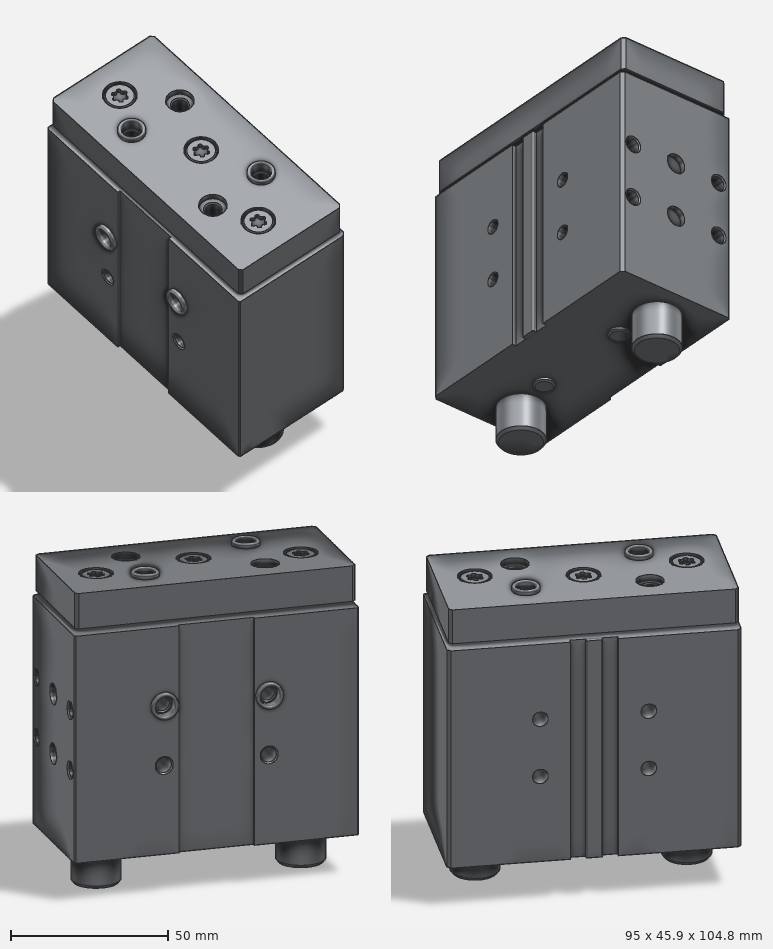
import cadquery as cq
import math


housing_length = 95.0
housing_width = 44.2
housing_height = 76.0
back_corner_chamfer = 1.2
front_corner_chamfer = 0.5
front_groove_width = 25.0
front_groove_depth = 0.9
back_groove_width = 15.4
back_groove_depth = 1.5
back_rib_width = 5.2
back_rib_rounding = 0.4

plate_length = 93.5
plate_width = 42.1
plate_thickness = 11.8
plate_corner_chamfer = 1.0

rod_overhang = 13.3
plate_gap = 2.0
guide_rod_diameter = 16.0
guide_rod_x = 34.2
guide_rod_y = -3.0
guide_rod_chamfer_width = 0.8
guide_rod_chamfer_height = 1.0
piston_rod_diameter = 9.0
piston_rod_y = 2.0
piston_rod_depth = 41.9

head_seat_diameter = 11.0
head_diameter = 10.0
head_height = 6.0
head_chamfer = 0.4
head_recess = 0.3
shank_diameter = 6.0
star_tip_radius = 2.7
star_flank_radius = 2.4
star_valley_radius = 2.0
star_depth = 1.6
star_points = 6

thread_diameter = 5.0
thread_mouth_diameter = 6.0
hole_pitch = 20.0
plate_hole_x = hole_pitch
plate_hole_y = hole_pitch / 2
front_hole_x = 17.5
side_hole_y = 17.5
side_hole_depth = 10.5
drill_point_angle = 118
lower_hole_row_z = 43.1
hole_rows_z = [lower_hole_row_z, lower_hole_row_z + hole_pitch]
upper_hole_row_z = hole_rows_z[-1]

sleeve_diameter = 9.0
sleeve_bore_diameter = 6.5
sleeve_seat_depth = 2.1
sleeve_protrusion = 1.7

side_recess_diameter = 7.0
side_recess_depth = 2.1
button_diameter = 7.0
button_height = 1.3
button_chamfer = 0.5
button_x = 18.8

housing_bottom_z = rod_overhang
housing_top_z = housing_bottom_z + housing_height
plate_bottom_z = housing_top_z + plate_gap
plate_top_z = plate_bottom_z + plate_thickness
head_top_z = plate_top_z - head_recess
front_y = -housing_width / 2
back_y = housing_width / 2
left_x = -housing_length / 2

UP = cq.Vector(0, 0, 1)
DOWN = cq.Vector(0, 0, -1)
RIGHT = cq.Vector(1, 0, 0)
BACKWARD = cq.Vector(0, 1, 0)
FORWARD = cq.Vector(0, -1, 0)


def cylinder(diameter, length, start, direction):
    return cq.Solid.makeCylinder(diameter / 2, length, start, direction)


def cone(start_diameter, end_diameter, length, start, direction):
    return cq.Solid.makeCone(start_diameter / 2, end_diameter / 2, length, start, direction)


def threaded_hole(depth, mouth, direction):
    """Cutter for a hole with a 45 degree chamfer at its mouth."""
    chamfer = (thread_mouth_diameter - thread_diameter) / 2
    hole = cylinder(thread_diameter, depth, mouth, direction)
    return hole.fuse(cone(thread_mouth_diameter, thread_diameter, chamfer, mouth, direction))


def blind_threaded_hole(depth, mouth, direction):
    """Cutter for a threaded hole that ends in a drill point."""
    point_height = thread_diameter / 2 / math.tan(math.radians(drill_point_angle / 2))
    point = cone(thread_diameter, 0, point_height, mouth + direction * depth, direction)
    return threaded_hole(depth, mouth, direction).fuse(point)


def seated_hole(depth, mouth, direction):
    """Cutter for a threaded hole that starts at the floor of a sleeve counterbore."""
    seat = cylinder(sleeve_diameter, sleeve_seat_depth, mouth, direction)
    return threaded_hole(depth, mouth + direction * sleeve_seat_depth, direction).fuse(seat)


def make_centring_sleeve(mouth, outward):
    """Ring that sits in the counterbore at mouth and stands out of it with a rounded rim."""
    radius = sleeve_diameter / 2
    bore_radius = sleeve_bore_diameter / 2
    height = sleeve_seat_depth + sleeve_protrusion
    rounding = (radius - bore_radius) / 2
    profile = (
        cq.Workplane("XZ")
        .moveTo(bore_radius, 0)
        .lineTo(radius, 0)
        .lineTo(radius, height - rounding)
        .threePointArc((bore_radius + rounding, height), (bore_radius, height - rounding))
        .close()
    )
    ring = profile.revolve(360, (0, 0, 0), (0, 1, 0)).val()
    seat_floor = mouth - outward * sleeve_seat_depth
    return ring.moved(cq.Location(cq.Plane(seat_floor, RIGHT, outward)))


def head_seat(x, y):
    """Cutter for the shank hole through the plate and the counterbore of the screw head."""
    mouth = cq.Vector(x, y, plate_top_z)
    counterbore = cylinder(head_seat_diameter, head_recess + head_height, mouth, DOWN)
    return counterbore.fuse(cylinder(shank_diameter, plate_thickness, mouth, DOWN))


def star_socket(x, y):
    """Cutter for the driver socket, a star with rounded tips and valleys."""

    def star_point(radius, steps):
        angle = math.pi / 2 + steps * math.pi / (2 * star_points)
        return (x + radius * math.cos(angle), y + radius * math.sin(angle))

    outline = cq.Workplane("XY").workplane(offset=head_top_z - star_depth)
    outline = outline.moveTo(*star_point(star_flank_radius, -1))
    for tip in range(0, 4 * star_points, 4):
        outline = outline.threePointArc(star_point(star_tip_radius, tip), star_point(star_flank_radius, tip + 1))
        outline = outline.threePointArc(
            star_point(star_valley_radius, tip + 2), star_point(star_flank_radius, tip + 3)
        )
    return outline.close().extrude(star_depth).val()


def screw_end(x, y):
    """Upper end of a rod: the shank and the head that hold the plate."""
    shank_length = head_top_z - head_height - plate_bottom_z
    shank = cylinder(shank_diameter, shank_length, cq.Vector(x, y, plate_bottom_z), UP)
    head = cylinder(head_diameter, head_height, cq.Vector(x, y, head_top_z - head_height), UP)
    head = cq.Workplane(head).faces(">Z").chamfer(head_chamfer).val()
    return shank.fuse(head.cut(star_socket(x, y)))


def make_guide_rod(x):
    end_diameter = guide_rod_diameter - 2 * guide_rod_chamfer_width
    tip = cone(end_diameter, guide_rod_diameter, guide_rod_chamfer_height, cq.Vector(x, guide_rod_y, 0), UP)
    shaft_length = plate_bottom_z - guide_rod_chamfer_height
    shaft_start = cq.Vector(x, guide_rod_y, guide_rod_chamfer_height)
    shaft = cylinder(guide_rod_diameter, shaft_length, shaft_start, UP)
    return shaft.fuse(tip, screw_end(x, guide_rod_y))


def make_piston_rod():
    start = cq.Vector(0, piston_rod_y, housing_top_z - piston_rod_depth)
    shaft = cylinder(piston_rod_diameter, piston_rod_depth + plate_gap, start, UP)
    return shaft.fuse(screw_end(0, piston_rod_y))


def full_height_box(width, depth, middle_y):
    """Upright box as tall as the housing, centred on X = 0."""
    box = cq.Workplane("XY").box(width, depth, housing_height, centered=(True, True, False))
    return box.translate((0, middle_y, housing_bottom_z))


def make_back_rib():
    """Rib in the middle of the back groove, level with the back face."""
    rib = full_height_box(back_rib_width, back_groove_depth, back_y - back_groove_depth / 2)
    return rib.edges("|Z and >Y").fillet(back_rib_rounding).val()


def make_housing():
    block = cq.Workplane("XY").box(housing_length, housing_width, housing_height, centered=(True, True, False))
    block = block.translate((0, 0, housing_bottom_z))
    block = block.edges("|Z and >Y").chamfer(back_corner_chamfer)
    block = block.edges("|Z and <Y").chamfer(front_corner_chamfer).val()

    cutters = [
        full_height_box(front_groove_width, 2 * front_groove_depth, front_y).val(),
        full_height_box(back_groove_width, 2 * back_groove_depth, back_y).val(),
    ]

    for x in (-guide_rod_x, guide_rod_x):
        bore_start = cq.Vector(x, guide_rod_y, housing_bottom_z)
        cutters.append(cylinder(guide_rod_diameter, housing_height, bore_start, UP))
    piston_bore_mouth = cq.Vector(0, piston_rod_y, housing_top_z)
    cutters.append(cylinder(piston_rod_diameter, piston_rod_depth, piston_bore_mouth, DOWN))

    for x in (-front_hole_x, front_hole_x):
        lower_mouth = cq.Vector(x, front_y, lower_hole_row_z)
        upper_mouth = cq.Vector(x, front_y, upper_hole_row_z)
        cutters.append(threaded_hole(housing_width, lower_mouth, BACKWARD))
        cutters.append(seated_hole(housing_width, upper_mouth, BACKWARD))

    for z in hole_rows_z:
        for y in (-side_hole_y, side_hole_y):
            cutters.append(blind_threaded_hole(side_hole_depth, cq.Vector(left_x, y, z), RIGHT))
        cutters.append(cylinder(side_recess_diameter, side_recess_depth, cq.Vector(left_x, 0, z), RIGHT))

    buttons = []
    for x in (-button_x, button_x):
        button = cylinder(button_diameter, button_height, cq.Vector(x, 0, housing_bottom_z), DOWN)
        buttons.append(cq.Workplane(button).faces("<Z").chamfer(button_chamfer).val())

    return block.cut(*cutters).fuse(make_back_rib(), *buttons)


def make_yoke_plate():
    plate = cq.Workplane("XY").box(plate_length, plate_width, plate_thickness, centered=(True, True, False))
    plate = plate.translate((0, 0, plate_bottom_z)).edges("|Z").chamfer(plate_corner_chamfer).val()
    cutters = [
        head_seat(-guide_rod_x, guide_rod_y),
        head_seat(guide_rod_x, guide_rod_y),
        head_seat(0, piston_rod_y),
    ]
    for x in (-plate_hole_x, plate_hole_x):
        for y in (-plate_hole_y, plate_hole_y):
            cutters.append(seated_hole(plate_thickness, cq.Vector(x, y, plate_top_z), DOWN))
    return plate.cut(*cutters)


housing = make_housing()
yoke_plate = make_yoke_plate()
guide_rods = [make_guide_rod(x) for x in (-guide_rod_x, guide_rod_x)]
piston_rod = make_piston_rod()

centring_sleeves = []
for side in (-1, 1):
    plate_mouth = cq.Vector(side * plate_hole_x, side * plate_hole_y, plate_top_z)
    front_mouth = cq.Vector(side * front_hole_x, front_y, upper_hole_row_z)
    centring_sleeves.append(make_centring_sleeve(plate_mouth, UP))
    centring_sleeves.append(make_centring_sleeve(front_mouth, FORWARD))

result = cq.Compound.makeCompound([housing, yoke_plate, *guide_rods, piston_rod, *centring_sleeves])